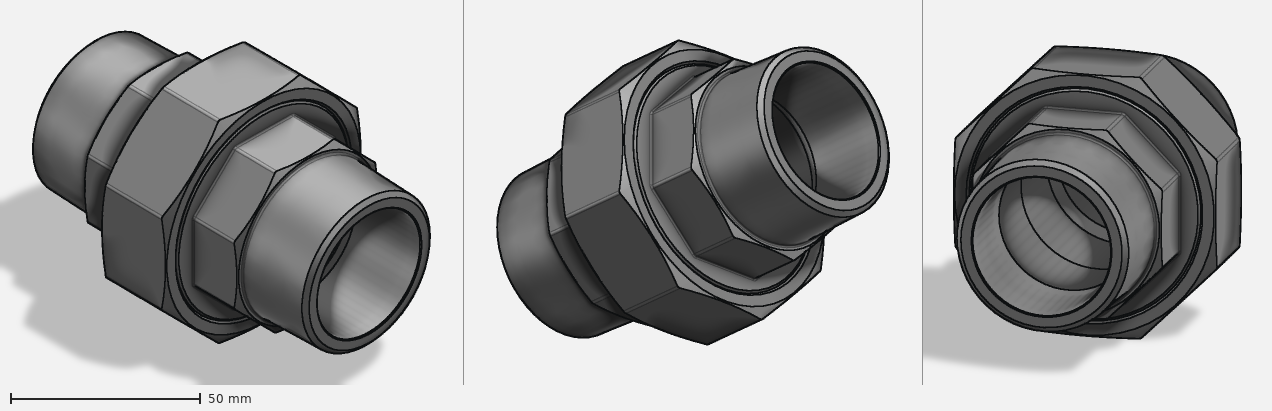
import cadquery as cq
import math

total_length = 104.0
half_length = total_length / 2

bore_diameter = 38.0
bore_mouth_chamfer = 0.3
recess_diameter = 42.0
recess_end_x = 27.4
recess_cone_length = 3.7

nut_across_flats = 72.0
nut_width = 24.3
nut_face_diameter = 71.3
nut_bore_diameter = 63.8

collar_across_flats = 52.0
collar_face_diameter = 51.2
collar_face_x = 28.9
flange_face_x = nut_width / 2
taper_base_diameter = 48.6
taper_ratio = 1 / 16
end_chamfer_radial = 1.5
end_chamfer_axial = 1.2

groove_chamfer = 0.6
corner_chamfer_angle = 27.0
flat_edge_radius = 1.4
root_radius = 0.5

OCTAGON_SIDES = 8
CORNER_FACTOR = 1 / math.cos(math.pi / OCTAGON_SIDES)
SELECTION_MARGIN = 0.01


def octagon_bar(across_flats, start_x, length):
    """Octagonal bar along +X with two flats level and rounded long edges."""
    return (
        cq.Workplane("YZ", origin=(start_x, 0, 0))
        .transformed(rotate=(0, 0, 180 / OCTAGON_SIDES))
        .polygon(OCTAGON_SIDES, across_flats * CORNER_FACTOR)
        .extrude(length)
        .edges("|X")
        .fillet(flat_edge_radius)
    )


def revolve_about_x(profile):
    """Turn a list of (x, radius) points about the X axis."""
    return cq.Workplane("XY").polyline(profile).close().revolve(360, (0, 0, 0), (1, 0, 0))


def chamfered_blank(across_flats, face_diameter, half_width):
    """Turned blank, centred on the YZ plane, whose conical ends trim octagon corners."""
    face_radius = face_diameter / 2
    outer_radius = across_flats * CORNER_FACTOR / 2
    cone_length = (outer_radius - face_radius) * math.tan(math.radians(corner_chamfer_angle))
    return revolve_about_x([
        (-half_width, 0),
        (-half_width, face_radius),
        (-half_width + cone_length, outer_radius),
        (half_width - cone_length, outer_radius),
        (half_width, face_radius),
        (half_width, 0),
    ])


def make_nut():
    """Octagonal ring with chamfered corners and a bore chamfered at both faces."""
    face_x = nut_width / 2
    bore_radius = nut_bore_diameter / 2
    mouth_radius = bore_radius + groove_chamfer
    bore = revolve_about_x([
        (-face_x, 0),
        (-face_x, mouth_radius),
        (-face_x + groove_chamfer, bore_radius),
        (face_x - groove_chamfer, bore_radius),
        (face_x, mouth_radius),
        (face_x, 0),
    ])
    blank = chamfered_blank(nut_across_flats, nut_face_diameter, face_x)
    return octagon_bar(nut_across_flats, -face_x, nut_width).intersect(blank).cut(bore)


def make_flange():
    """Round flange from the middle plane to the nut face, chamfered at its outer face."""
    radius = nut_bore_diameter / 2
    return revolve_about_x([
        (0, 0),
        (0, radius),
        (flange_face_x - groove_chamfer, radius),
        (flange_face_x, radius - groove_chamfer),
        (flange_face_x, 0),
    ])


def make_collar():
    """Octagonal collar from the flange face to its own chamfered end face."""
    blank = chamfered_blank(collar_across_flats, collar_face_diameter, collar_face_x)
    bar = octagon_bar(collar_across_flats, flange_face_x, collar_face_x - flange_face_x)
    return bar.intersect(blank)


def fillet_collar_root(body):
    """Round the octagonal inside edge where the collar meets the flange face."""
    reach = collar_across_flats * CORNER_FACTOR / 2
    root_edges = cq.selectors.BoxSelector(
        (flange_face_x - SELECTION_MARGIN, -reach, -reach),
        (flange_face_x + SELECTION_MARGIN, reach, reach),
        boundingbox=True,
    )
    return body.edges(root_edges).fillet(root_radius)


def make_tapered_end():
    """Tapered round end with a chamfered tip and a rounded root at the collar."""
    base_radius = taper_base_diameter / 2
    tip_x = half_length - end_chamfer_axial
    tip_radius = base_radius - (tip_x - collar_face_x) * taper_ratio / 2
    root_end_radius = base_radius - root_radius * taper_ratio / 2
    arc_inset = root_radius * (1 - math.sqrt(0.5))
    return (
        cq.Workplane("XY")
        .moveTo(collar_face_x, 0)
        .lineTo(collar_face_x, base_radius + root_radius)
        .threePointArc(
            (collar_face_x + arc_inset, base_radius + arc_inset),
            (collar_face_x + root_radius, root_end_radius),
        )
        .lineTo(tip_x, tip_radius)
        .lineTo(half_length, tip_radius - end_chamfer_radial)
        .lineTo(half_length, 0)
        .close()
        .revolve(360, (0, 0, 0), (1, 0, 0))
    )


def make_bore():
    """Bore with a chamfered mouth, widening through a cone to the inner recess."""
    bore_radius = bore_diameter / 2
    recess_radius = recess_diameter / 2
    return revolve_about_x([
        (0, 0),
        (0, recess_radius),
        (recess_end_x - recess_cone_length, recess_radius),
        (recess_end_x, bore_radius),
        (half_length - bore_mouth_chamfer, bore_radius),
        (half_length, bore_radius + bore_mouth_chamfer),
        (half_length, 0),
    ])


def make_tailpiece():
    """Tailpiece on the +X side of the middle plane."""
    body = fillet_collar_root(make_flange().union(make_collar()))
    return body.union(make_tapered_end()).cut(make_bore())


nut = make_nut()

tailpieces = []
for mirrored in (False, True):
    tailpiece = make_tailpiece()
    if mirrored:
        tailpiece = tailpiece.mirror("YZ")
    tailpieces.append(tailpiece.val())

result = cq.Compound.makeCompound([nut.val(), *tailpieces])